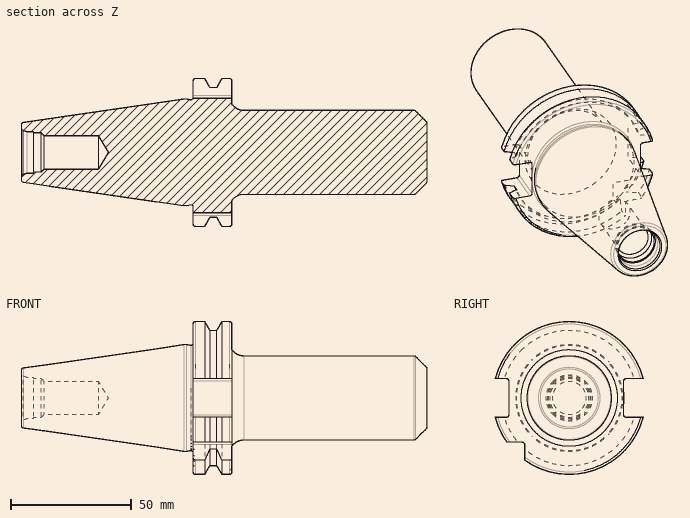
import cadquery as cq
import math

LENGTH = 168.2
GAUGE_X = 67.5
COLLAR_END = 68.5
FLANGE_START = 71.2
FLANGE_END = 87.3
GROOVE_X = 79.5

TAPER_RATIO = 7 / 24
GAUGE_RADIUS = 22.2
TAPER_RADIUS = GAUGE_RADIUS - GAUGE_X * TAPER_RATIO / 2
TAPER_END_FILLET = 1.0
NECK_RADIUS = 21.9
NECK_FILLET = 0.8

FLANGE_DIAMETER = 63.5
FLANGE_RADIUS = FLANGE_DIAMETER / 2
FLANGE_FILLET = 1.0
GROOVE_FLOOR_RADIUS = 28.1
GROOVE_FLOOR_WIDTH = 2.9
GROOVE_FLANK_ANGLE = 30.0

NOSE_RADIUS = 17.5
NOSE_ROOT_RADIUS = 20.0
NOSE_ROOT_FILLET = 6.0
NOSE_CHAMFER = 5.0
NOSE_EDGE_FILLET = 1.0

MOUTH_RADIUS = 9.6
COUNTERSINK_X = 0.7
COUNTERSINK_RADIUS = 9.1
PILOT_START = 2.4
PILOT_RADIUS = 8.5
PILOT_END = 5.0
THREAD_RADIUS = 8.0
THREAD_END = 8.2
DRILL_START = 9.5
DRILL_RADIUS = 6.9
DRILL_END = 32.0
DRILL_POINT_ANGLE = 118.0

SLOT_WIDTH = 16.0
SLOT_FLOOR_FRONT = 25.0
SLOT_FLOOR_BACK = 22.5
NOTCH_Y = 18.5
NOTCH_Z = 18.3
SLOT_FILLET = 1.0

TOLERANCE = 0.02


def rings(body, *stations):
    """Circular edges lying at the given X stations."""
    return [
        edge
        for edge in body.edges("%CIRCLE").vals()
        if any(abs(edge.Center().x - x) < TOLERANCE for x in stations)
    ]


def turned_body():
    """Taper, grooved flange and nose as one revolved solid."""
    groove_depth = FLANGE_RADIUS - GROOVE_FLOOR_RADIUS
    half_floor = GROOVE_FLOOR_WIDTH / 2
    half_mouth = half_floor + groove_depth * math.tan(math.radians(GROOVE_FLANK_ANGLE))
    root_rise = NOSE_ROOT_RADIUS - NOSE_RADIUS
    sweep = math.acos(1 - root_rise / NOSE_ROOT_FILLET)
    root_end = FLANGE_END + NOSE_ROOT_FILLET * math.sin(sweep)
    root_mid = (
        root_end - NOSE_ROOT_FILLET * math.sin(sweep / 2),
        NOSE_RADIUS + NOSE_ROOT_FILLET * (1 - math.cos(sweep / 2)),
    )
    profile = (
        cq.Workplane("XY")
        .moveTo(0, 0)
        .lineTo(0, TAPER_RADIUS)
        .lineTo(GAUGE_X, GAUGE_RADIUS)
        .lineTo(COLLAR_END, GAUGE_RADIUS)
        .lineTo(FLANGE_START - NECK_FILLET, NECK_RADIUS)
        .radiusArc((FLANGE_START, NECK_RADIUS + NECK_FILLET), -NECK_FILLET)
        .lineTo(FLANGE_START, FLANGE_RADIUS)
        .lineTo(GROOVE_X - half_mouth, FLANGE_RADIUS)
        .lineTo(GROOVE_X - half_floor, GROOVE_FLOOR_RADIUS)
        .lineTo(GROOVE_X + half_floor, GROOVE_FLOOR_RADIUS)
        .lineTo(GROOVE_X + half_mouth, FLANGE_RADIUS)
        .lineTo(FLANGE_END, FLANGE_RADIUS)
        .lineTo(FLANGE_END, NOSE_ROOT_RADIUS)
        .threePointArc(root_mid, (root_end, NOSE_RADIUS))
        .lineTo(LENGTH - NOSE_CHAMFER, NOSE_RADIUS)
        .lineTo(LENGTH, NOSE_RADIUS - NOSE_CHAMFER)
        .lineTo(LENGTH, 0)
        .close()
    )
    body = profile.revolve(360, (0, 0, 0), (1, 0, 0))
    body = body.faces("<X").edges().fillet(TAPER_END_FILLET)
    body = body.newObject(rings(body, LENGTH - NOSE_CHAMFER, LENGTH)).fillet(NOSE_EDGE_FILLET)
    rims = [e for e in rings(body, FLANGE_START, FLANGE_END) if e.radius() > GROOVE_FLOOR_RADIUS]
    return body.newObject(rims).fillet(FLANGE_FILLET)


def drawbar_bore():
    """Stepped bore with a conical drill point at its bottom."""
    point_length = DRILL_RADIUS / math.tan(math.radians(DRILL_POINT_ANGLE / 2))
    return (
        cq.Workplane("XY")
        .moveTo(0, 0)
        .lineTo(0, MOUTH_RADIUS)
        .lineTo(COUNTERSINK_X, COUNTERSINK_RADIUS)
        .lineTo(PILOT_START, PILOT_RADIUS)
        .lineTo(PILOT_END, PILOT_RADIUS)
        .lineTo(PILOT_END, THREAD_RADIUS)
        .lineTo(THREAD_END, THREAD_RADIUS)
        .lineTo(DRILL_START, DRILL_RADIUS)
        .lineTo(DRILL_END, DRILL_RADIUS)
        .lineTo(DRILL_END + point_length, 0)
        .close()
        .revolve(360, (0, 0, 0), (1, 0, 0))
    )


def flange_cut(y_floor, y_outer, z_low, z_high):
    """Box across the flange width, its floor edges rounded, open towards y_outer."""
    return (
        cq.Workplane("YZ", origin=(FLANGE_START, 0, 0))
        .moveTo(y_floor, z_low)
        .lineTo(y_outer, z_low)
        .lineTo(y_outer, z_high)
        .lineTo(y_floor, z_high)
        .close()
        .extrude(FLANGE_END - FLANGE_START)
        .edges("|X")
        .fillet(SLOT_FILLET)
    )


outside = 2 * FLANGE_RADIUS
half_slot = SLOT_WIDTH / 2
result = (
    turned_body()
    .cut(drawbar_bore())
    .cut(flange_cut(-SLOT_FLOOR_FRONT, -outside, -half_slot, half_slot))
    .cut(flange_cut(SLOT_FLOOR_BACK, outside, -half_slot, half_slot))
    .cut(flange_cut(-NOTCH_Y, -outside, -outside, -NOTCH_Z))
)